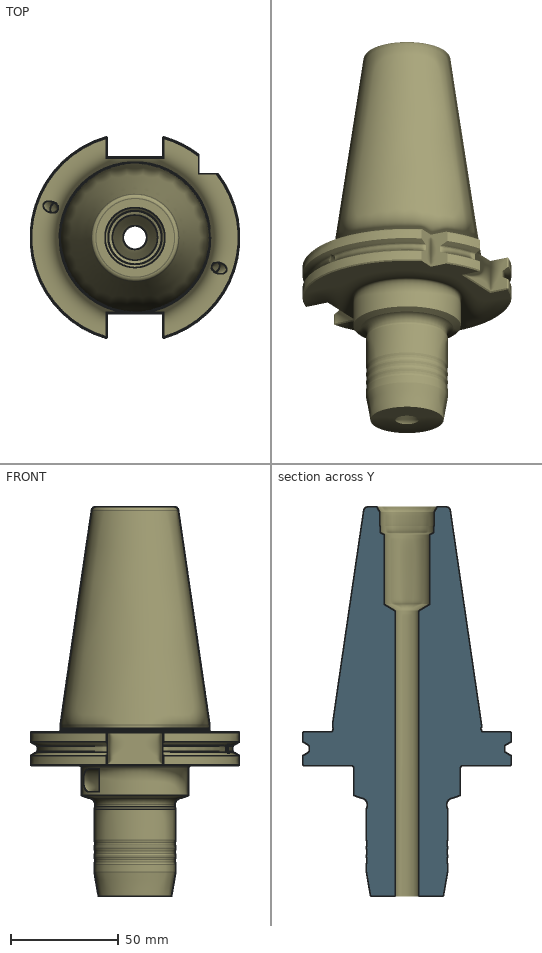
import cadquery as cq
import math

TOTAL_LENGTH = 181.6
NOSE_LENGTH = 80.0
TAPER_LENGTH = TOTAL_LENGTH - NOSE_LENGTH
NOSE_END_Z = -NOSE_LENGTH

GAUGE_RADIUS = 34.9
TAPER_SLOPE = 7 / 48
TAPER_TOP_RADIUS = GAUGE_RADIUS - TAPER_LENGTH * TAPER_SLOPE
TAPER_TOP_FILLET = 2.0

RELIEF_TOP_Z = -1.6
RELIEF_WIDTH = 0.7
RELIEF_DEPTH = 0.4
SHANK_ROOT_FILLET = 0.4

FLANGE_DIAMETER = 97.5
FLANGE_RADIUS = FLANGE_DIAMETER / 2
FLANGE_TOP_Z = -3.3
FLANGE_THICKNESS = 16.0
FLANGE_BOTTOM_Z = FLANGE_TOP_Z - FLANGE_THICKNESS
FLANGE_CHAMFER = 0.5
GRIP_GROOVE_Z = FLANGE_TOP_Z - FLANGE_THICKNESS / 2
GRIP_MOUTH_WIDTH = 6.4
GRIP_MOUTH_HALF = GRIP_MOUTH_WIDTH / 2
GRIP_GROOVE_DEPTH = 3.0
GRIP_FLANK_ANGLE = math.radians(30)
GRIP_FLOOR_FILLET = 0.5
GRIP_FLOOR_RADIUS = FLANGE_RADIUS - GRIP_GROOVE_DEPTH
GRIP_FLOOR_HALF = GRIP_MOUTH_HALF - GRIP_GROOVE_DEPTH * math.tan(GRIP_FLANK_ANGLE)

KEYWAY_WIDTH = 25.8
KEYWAY_FRONT_Y = -35.5
KEYWAY_BACK_Y = 37.6
KEYWAY_CHAMFER = 0.5
NOTCH_CORNER = 29.8

COLLAR_RADIUS = 25.0
COLLAR_ROOT_FILLET = 0.7
COLLAR_BOTTOM_Z = NOSE_END_Z + 47.0
COLLAR_CONE_HEIGHT = 1.3
NOSE_RADIUS = 19.0
NECK_RADIUS = 18.7
NECK_FILLET = 2.9
NECK_TOP_Z = COLLAR_BOTTOM_Z - COLLAR_CONE_HEIGHT - NECK_FILLET
NECK_LENGTH = 1.0
NECK_CONE_HEIGHT = 1.0
NOSE_TIP_RADIUS = 17.0
NOSE_TIP_LENGTH = 11.5

RING_COUNT = 3
RING_PITCH = 4.0
RING_FIRST_Z = NOSE_END_Z + 26.3
RING_STEP = 1.0
RING_DEPTH = 0.27

BORE_MOUTH_RADIUS = 14.0
BORE_MOUTH_DEPTH = 2.5
COUNTERBORE_RADIUS = 12.5
COUNTERBORE_DEPTH = 8.9
GUIDE_RADIUS = 12.3
GUIDE_DEPTH = 12.0
THREAD_RADIUS = 10.5
THREAD_START_DEPTH = 12.9
THREAD_DEPTH = 45.4
THROUGH_RADIUS = 5.5
DRILL_HALF_ANGLE = math.radians(59)

SCREW_Y = -12.7
SCREW_Z = FLANGE_BOTTOM_Z - 6.7
SCREW_RADIUS = 5.3
SCREW_FLOOR_X = -16.7

COOLANT_ANGLES = (160, 340)
FACE_HOLE_PITCH_RADIUS = 41.8
FACE_HOLE_RADIUS = 2.5
FACE_HOLE_TILT = math.radians(45)
FACE_HOLE_DEPTH = 2.5
GROOVE_HOLE_RADIUS = 2.0
GROOVE_HOLE_DEPTH = 0.9


def make_body():
    """Turned outside of the shank, flange, collar and nose."""
    relief_bottom_z = RELIEF_TOP_Z - RELIEF_WIDTH
    relief_radius = GAUGE_RADIUS - RELIEF_DEPTH
    rim_radius = FLANGE_RADIUS - FLANGE_CHAMFER
    neck_arc = NECK_FILLET * math.sqrt(0.5)
    neck_bottom_z = NECK_TOP_Z - NECK_LENGTH
    outline = (
        cq.Workplane("XZ")
        .moveTo(0, TAPER_LENGTH)
        .lineTo(TAPER_TOP_RADIUS, TAPER_LENGTH)
        .lineTo(GAUGE_RADIUS, 0)
        .lineTo(GAUGE_RADIUS, RELIEF_TOP_Z)
        .lineTo(relief_radius, RELIEF_TOP_Z)
        .lineTo(relief_radius, relief_bottom_z)
        .lineTo(GAUGE_RADIUS, relief_bottom_z)
        .lineTo(GAUGE_RADIUS, FLANGE_TOP_Z + SHANK_ROOT_FILLET)
        .radiusArc((GAUGE_RADIUS + SHANK_ROOT_FILLET, FLANGE_TOP_Z), -SHANK_ROOT_FILLET)
        .lineTo(rim_radius, FLANGE_TOP_Z)
        .lineTo(FLANGE_RADIUS, FLANGE_TOP_Z - FLANGE_CHAMFER)
        .lineTo(FLANGE_RADIUS, GRIP_GROOVE_Z + GRIP_MOUTH_HALF)
        .lineTo(GRIP_FLOOR_RADIUS, GRIP_GROOVE_Z + GRIP_FLOOR_HALF)
        .lineTo(GRIP_FLOOR_RADIUS, GRIP_GROOVE_Z - GRIP_FLOOR_HALF)
        .lineTo(FLANGE_RADIUS, GRIP_GROOVE_Z - GRIP_MOUTH_HALF)
        .lineTo(FLANGE_RADIUS, FLANGE_BOTTOM_Z + FLANGE_CHAMFER)
        .lineTo(rim_radius, FLANGE_BOTTOM_Z)
        .lineTo(COLLAR_RADIUS + COLLAR_ROOT_FILLET, FLANGE_BOTTOM_Z)
        .radiusArc((COLLAR_RADIUS, FLANGE_BOTTOM_Z - COLLAR_ROOT_FILLET), -COLLAR_ROOT_FILLET)
        .lineTo(COLLAR_RADIUS, COLLAR_BOTTOM_Z)
        .lineTo(NECK_RADIUS + NECK_FILLET, COLLAR_BOTTOM_Z - COLLAR_CONE_HEIGHT)
        .threePointArc(
            (NECK_RADIUS + NECK_FILLET - neck_arc, NECK_TOP_Z + neck_arc),
            (NECK_RADIUS, NECK_TOP_Z),
        )
        .lineTo(NECK_RADIUS, neck_bottom_z)
        .lineTo(NOSE_RADIUS, neck_bottom_z - NECK_CONE_HEIGHT)
        .lineTo(NOSE_RADIUS, NOSE_END_Z + NOSE_TIP_LENGTH)
        .lineTo(NOSE_TIP_RADIUS, NOSE_END_Z)
        .lineTo(0, NOSE_END_Z)
        .close()
    )
    body = outline.revolve(360, (0, 0, 0), (0, 1, 0))
    body = body.faces(">Z").edges().fillet(TAPER_TOP_FILLET)
    floor_corners = body.edges("%CIRCLE").filter(
        lambda edge: math.isclose(edge.radius(), GRIP_FLOOR_RADIUS, rel_tol=1e-6)
    )
    return floor_corners.fillet(GRIP_FLOOR_FILLET)


def keyway_frame(half_width, near_y, far_y, z):
    """Rectangular wire at height z spanning the keyway width from near_y to far_y."""
    corners = [(-half_width, near_y), (half_width, near_y), (half_width, far_y), (-half_width, far_y)]
    return cq.Wire.makePolygon([cq.Vector(x, y, z) for x, y in corners], close=True)


def make_keyway(floor_y):
    """Drive keyway reaching outward from floor_y, with its flange edges broken."""
    side = math.copysign(1, floor_y)
    far_y = floor_y + side * FLANGE_RADIUS
    half_width = KEYWAY_WIDTH / 2
    flared_half = half_width + KEYWAY_CHAMFER
    flared_y = floor_y - side * KEYWAY_CHAMFER
    keyway = (
        cq.Workplane("XY", origin=(0, floor_y + side * FLANGE_RADIUS / 2, FLANGE_BOTTOM_Z))
        .rect(KEYWAY_WIDTH, FLANGE_RADIUS)
        .extrude(FLANGE_THICKNESS)
    )
    for face_z, into_flange in ((FLANGE_TOP_Z, -1), (FLANGE_BOTTOM_Z, 1)):
        outer_frame = keyway_frame(flared_half, flared_y, far_y, face_z)
        inner_frame = keyway_frame(half_width, floor_y, far_y, face_z + into_flange * KEYWAY_CHAMFER)
        keyway = keyway.union(cq.Workplane(cq.Solid.makeLoft([outer_frame, inner_frame], True)))

    rim_y = side * math.sqrt(FLANGE_RADIUS**2 - flared_half**2)
    mouth_inner_y = rim_y - side * KEYWAY_CHAMFER
    mouth_outer_y = rim_y + side * KEYWAY_CHAMFER
    mouth_outer_half = flared_half + KEYWAY_CHAMFER
    mouth = (
        cq.Workplane("XY", origin=(0, 0, FLANGE_BOTTOM_Z))
        .polyline([
            (-half_width, mouth_inner_y),
            (half_width, mouth_inner_y),
            (mouth_outer_half, mouth_outer_y),
            (-mouth_outer_half, mouth_outer_y),
        ])
        .close()
        .extrude(FLANGE_THICKNESS)
    )
    return keyway.union(mouth)


def make_notch():
    """Square notch through the flange in the +X +Y corner."""
    return (
        cq.Workplane("XY", origin=(NOTCH_CORNER, NOTCH_CORNER, FLANGE_BOTTOM_Z))
        .rect(FLANGE_RADIUS, FLANGE_RADIUS, centered=False)
        .extrude(FLANGE_THICKNESS)
    )


def make_ring_groove(top_z):
    """Shallow groove with sloped sides around the nose."""
    floor_radius = NOSE_RADIUS - RING_DEPTH
    return (
        cq.Workplane("XZ")
        .polyline([
            (NOSE_RADIUS, top_z),
            (floor_radius, top_z - RING_STEP),
            (floor_radius, top_z - 2 * RING_STEP),
            (NOSE_RADIUS, top_z - 3 * RING_STEP),
        ])
        .close()
        .revolve(360, (0, 0, 0), (0, 1, 0))
    )


def make_bore():
    """Stepped bore from the shank end with a drill cone down to the through hole."""
    cone_height = (THREAD_RADIUS - THROUGH_RADIUS) / math.tan(DRILL_HALF_ANGLE)
    thread_end_z = TAPER_LENGTH - THREAD_DEPTH
    return (
        cq.Workplane("XZ")
        .polyline([
            (0, TAPER_LENGTH),
            (BORE_MOUTH_RADIUS, TAPER_LENGTH),
            (COUNTERBORE_RADIUS, TAPER_LENGTH - BORE_MOUTH_DEPTH),
            (COUNTERBORE_RADIUS, TAPER_LENGTH - COUNTERBORE_DEPTH),
            (GUIDE_RADIUS, TAPER_LENGTH - COUNTERBORE_DEPTH),
            (GUIDE_RADIUS, TAPER_LENGTH - GUIDE_DEPTH),
            (THREAD_RADIUS, TAPER_LENGTH - THREAD_START_DEPTH),
            (THREAD_RADIUS, thread_end_z),
            (THROUGH_RADIUS, thread_end_z - cone_height),
            (THROUGH_RADIUS, NOSE_END_Z),
            (0, NOSE_END_Z),
        ])
        .close()
        .revolve(360, (0, 0, 0), (0, 1, 0))
    )


def make_drilled_hole(radius, length, mouth, direction):
    """Blind hole with a drill cone, started one diameter above its mouth."""
    overrun = 2 * radius
    cone_height = radius / math.tan(DRILL_HALF_ANGLE)
    hole = cq.Solid.makeCylinder(radius, length + overrun, mouth - direction * overrun, direction)
    cone = cq.Solid.makeCone(radius, 0, cone_height, mouth + direction * length, direction)
    return cq.Workplane(hole).union(cq.Workplane(cone))


def make_screw_pocket():
    """Hole along X into the collar, open toward -Y."""
    depth = COLLAR_RADIUS + SCREW_FLOOR_X
    mouth = cq.Vector(-COLLAR_RADIUS, SCREW_Y, SCREW_Z)
    hole = make_drilled_hole(SCREW_RADIUS, depth, mouth, cq.Vector(1, 0, 0))
    opening = cq.Workplane("XY").box(depth, COLLAR_RADIUS, 2 * SCREW_RADIUS, centered=(False, False, True))
    return hole.union(opening.translate((-COLLAR_RADIUS, SCREW_Y - COLLAR_RADIUS, SCREW_Z)))


def make_coolant_hole(angle):
    """Tilted hole in the flange face with a radial hole below it in the gripper groove."""
    inward_down = cq.Vector(-math.sin(FACE_HOLE_TILT), 0, -math.cos(FACE_HOLE_TILT))
    face_mouth = cq.Vector(FACE_HOLE_PITCH_RADIUS, 0, FLANGE_TOP_Z)
    groove_mouth = cq.Vector(GRIP_FLOOR_RADIUS, 0, GRIP_GROOVE_Z)
    face_hole = make_drilled_hole(FACE_HOLE_RADIUS, FACE_HOLE_DEPTH, face_mouth, inward_down)
    groove_hole = make_drilled_hole(GROOVE_HOLE_RADIUS, GROOVE_HOLE_DEPTH, groove_mouth, cq.Vector(-1, 0, 0))
    return face_hole.union(groove_hole).rotate((0, 0, 0), (0, 0, 1), angle)


result = make_body()
for keyway_floor_y in (KEYWAY_FRONT_Y, KEYWAY_BACK_Y):
    result = result.cut(make_keyway(keyway_floor_y))
result = result.cut(make_notch())
for ring in range(RING_COUNT):
    result = result.cut(make_ring_groove(RING_FIRST_Z - ring * RING_PITCH))
result = result.cut(make_bore())
result = result.cut(make_screw_pocket())
for coolant_angle in COOLANT_ANGLES:
    result = result.cut(make_coolant_hole(coolant_angle))